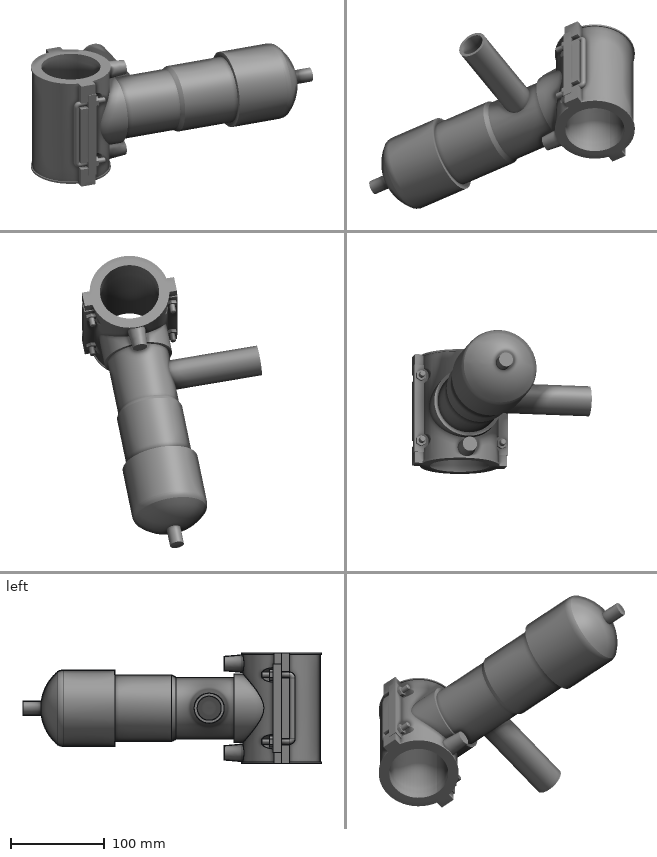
import cadquery as cq
import math

overall_x = 176.5
overall_y = 317.68

clamp_height = 118.0
half_height = clamp_height / 2
bore_radius = 31.5
shell_radius = 41.2
lip_radius = 42.5
lip_height = 2.0

lug_reach = 49.8
upper_lug_thickness = 7.9
lower_lug_thickness = 8.4
pad_reach = 50.5
pad_thickness = 9.0
pad_height = 94.6

rod_radius = 3.0
bolt_x = 43.6
bolt_z = 35.5
bolt_tip_y = 21.2
bolt_tip_chamfer = 0.6
inner_bend_radius = 0.1
bend_radius = rod_radius + inner_bend_radius
bar_y = -(lower_lug_thickness + rod_radius)
slot_width = 7.0
nut_across_flats = 10.0
nut_thickness = 3.6
nut_clearance_radius = 8.5

collar_radius = 73.2 / 2
collar_end_y = 50.7
pipe_radius = 65.88 / 2
pipe_end_y = 112.3
sleeve_radius = 70.76 / 2
sleeve_start_y = 117.0
cap_radius = 81.33 / 2
cap_start_y = 177.5
knuckle_start_y = 231.9
crown_start_y = 238.2
crown_start_radius = 39.0
crown_top_y = 256.4
tip_radius = 15.0 / 2
tip_end_y = overall_y - lip_radius

outlet_radius = 32.0 / 2
outlet_bore_radius = 25.6 / 2
outlet_y = 77.0
outlet_end_x = -(overall_x - pad_reach)

boss_tip_radius = 15.4 / 2
boss_base_radius = 9.4
boss_base_y = 42.0
boss_tip_y = 61.2
boss_z = 47.5


def cylinder_z(radius, height):
    """Cylinder along Z, centred on the origin."""
    return cq.Workplane("XY").circle(radius).extrude(height / 2, both=True)


def cylinder_y(radius, start_y, end_y, x=0.0, z=0.0):
    """Cylinder along Y between two Y positions."""
    axis = cq.Vector(0, 1, 0)
    return cq.Workplane(cq.Solid.makeCylinder(radius, end_y - start_y, cq.Vector(x, start_y, z), axis))


def box_between(x_range, y_range, height):
    """Box spanning the X and Y ranges, centred on Z = 0."""
    x_size = x_range[1] - x_range[0]
    y_size = y_range[1] - y_range[0]
    box = cq.Workplane("XY").box(x_size, y_size, height)
    return box.translate(((x_range[0] + x_range[1]) / 2, (y_range[0] + y_range[1]) / 2, 0))


def half_shell(side, lug_thickness):
    """Outside of one saddle half with its end lips and lugs; side is +1 for +Y, -1 for -Y."""
    shell = cylinder_z(shell_radius, clamp_height)
    for lip_z in (-half_height, half_height - lip_height):
        lip = cq.Workplane("XY").workplane(offset=lip_z).circle(lip_radius).extrude(lip_height)
        shell = shell.union(lip)
    half_space = box_between((-lug_reach, lug_reach), sorted((0, side * lip_radius)), clamp_height)
    lugs = box_between((-lug_reach, lug_reach), sorted((0, side * lug_thickness)), clamp_height)
    return shell.intersect(half_space).union(lugs)


def branch():
    """Stepped pipe, sleeve and domed cap, turned about the Y axis."""
    middle_radius = crown_start_radius / 2
    crown_rise = crown_top_y - crown_start_y
    crown_radius = (crown_start_radius ** 2 + crown_rise ** 2) / (2 * crown_rise)
    middle_y = crown_top_y - crown_radius + math.sqrt(crown_radius ** 2 - middle_radius ** 2)
    knuckle_run = crown_start_y - knuckle_start_y
    knuckle_drop = cap_radius - crown_start_radius
    knuckle_radius = (knuckle_run ** 2 + knuckle_drop ** 2) / (2 * knuckle_drop)
    knuckle_half_angle = math.asin(knuckle_run / knuckle_radius) / 2
    knuckle_middle = (
        cap_radius - knuckle_radius * (1 - math.cos(knuckle_half_angle)),
        knuckle_start_y + knuckle_radius * math.sin(knuckle_half_angle),
    )
    profile = (
        cq.Workplane("XY")
        .moveTo(0, 0)
        .lineTo(collar_radius, 0)
        .lineTo(collar_radius, collar_end_y)
        .lineTo(pipe_radius, collar_end_y)
        .lineTo(pipe_radius, pipe_end_y)
        .lineTo(sleeve_radius, sleeve_start_y)
        .lineTo(sleeve_radius, cap_start_y)
        .lineTo(cap_radius, cap_start_y)
        .lineTo(cap_radius, knuckle_start_y)
        .threePointArc(knuckle_middle, (crown_start_radius, crown_start_y))
        .threePointArc((middle_radius, middle_y), (0, crown_top_y))
        .close()
    )
    body = profile.revolve(360, (0, 0, 0), (0, 1, 0))
    return body.union(cylinder_y(tip_radius, crown_start_y, tip_end_y))


def outlet():
    """Side outlet tube, solid up to the branch axis."""
    tube = cq.Workplane("YZ").center(outlet_y, 0).circle(outlet_radius)
    return tube.extrude(outlet_end_x)


def outlet_bore():
    """Bore of the outlet, as deep as the side of the branch pipe."""
    bore = cq.Workplane("YZ", origin=(outlet_end_x, 0, 0)).center(outlet_y, 0)
    return bore.circle(outlet_bore_radius).extrude(-outlet_end_x - pipe_radius)


def boss(z):
    """Tapered boss rooted in the shell wall."""
    profile = (
        cq.Workplane("XY")
        .moveTo(0, bore_radius)
        .lineTo(boss_base_radius, bore_radius)
        .lineTo(boss_base_radius, boss_base_y)
        .lineTo(boss_tip_radius, boss_tip_y)
        .lineTo(0, boss_tip_y)
        .close()
    )
    return profile.revolve(360, (0, 0, 0), (0, 1, 0)).translate((0, 0, z))


def u_bolt(x):
    """U-bolt: two rods along Y joined by a bar along Z."""
    bend_y = bar_y + bend_radius
    bend_z = bolt_z - bend_radius
    bend_offset = bend_radius * math.sqrt(0.5)
    path = (
        cq.Workplane("YZ", origin=(x, 0, 0))
        .moveTo(bolt_tip_y, bolt_z)
        .lineTo(bend_y, bolt_z)
        .threePointArc((bend_y - bend_offset, bend_z + bend_offset), (bar_y, bend_z))
        .lineTo(bar_y, -bend_z)
        .threePointArc((bend_y - bend_offset, -bend_z - bend_offset), (bend_y, -bolt_z))
        .lineTo(bolt_tip_y, -bolt_z)
    )
    section = cq.Workplane("XZ", origin=(x, bolt_tip_y, bolt_z)).circle(rod_radius)
    return section.sweep(path).faces(">Y").chamfer(bolt_tip_chamfer)


def nut(x, z):
    """Hexagon nut on the pad, with corners pointing along Z."""
    across_corners = nut_across_flats / math.cos(math.radians(30))
    hexagon = cq.Workplane("XZ", origin=(x, pad_thickness, z)).transformed(rotate=(0, 0, 90))
    return hexagon.polygon(6, across_corners).extrude(-nut_thickness)


def make_tapping_saddle():
    """Upper saddle half with solid branch, outlet, bosses and the U-bolts fixed in its lugs."""
    saddle = half_shell(1, upper_lug_thickness)
    saddle = saddle.union(box_between((-pad_reach, pad_reach), (0, pad_thickness), pad_height))
    for x in (-bolt_x, bolt_x):
        for z in (-bolt_z, bolt_z):
            saddle = saddle.cut(cylinder_y(nut_clearance_radius, pad_thickness, lip_radius, x, z))
    saddle = saddle.union(branch()).union(outlet())
    for z in (-boss_z, boss_z):
        saddle = saddle.union(boss(z))
    saddle = saddle.cut(cylinder_z(bore_radius, clamp_height))
    saddle = saddle.cut(outlet_bore())
    for x in (-bolt_x, bolt_x):
        saddle = saddle.union(u_bolt(x))
        for z in (-bolt_z, bolt_z):
            saddle = saddle.union(nut(x, z))
    return saddle


def bolt_slot(side, z):
    """Slot through a lower lug, round at the rod and open to the outside; side is -1 or +1."""
    round_end = cylinder_y(slot_width / 2, -lower_lug_thickness, 0, side * bolt_x, z)
    x_range = sorted((side * bolt_x, side * lug_reach))
    channel = box_between(x_range, (-lower_lug_thickness, 0), slot_width).translate((0, 0, z))
    return round_end.union(channel)


def make_lower_clamp():
    """Lower saddle half with open slots for the U-bolts."""
    clamp = half_shell(-1, lower_lug_thickness).cut(cylinder_z(bore_radius, clamp_height))
    for side in (-1, 1):
        for z in (-bolt_z, bolt_z):
            clamp = clamp.cut(bolt_slot(side, z))
    return clamp


tapping_saddle = make_tapping_saddle()
lower_clamp = make_lower_clamp()

result = cq.Compound.makeCompound([tapping_saddle.val(), lower_clamp.val()])